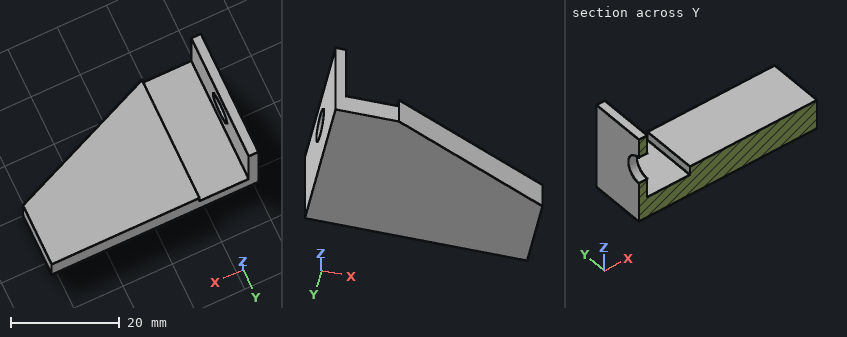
import cadquery as cq

length = 42.0
width = 25.0
height = 20.0

plate_thickness = 2.0
hole_diameter = 6.15

shelf_length = 10.0
shelf_height = 5.0

arm_height = 7.0
arm_tip_width = width / 2
arm_start = plate_thickness + shelf_length

hole_center_y = width / 2
hole_center_z = (shelf_height + height) / 2


def make_plate():
    """Upright plate with a round hole through its thickness."""
    plate = cq.Workplane("XY").box(plate_thickness, width, height, centered=False)
    hole = (
        cq.Workplane("YZ")
        .center(hole_center_y, hole_center_z)
        .circle(hole_diameter / 2)
        .extrude(plate_thickness)
    )
    return plate.cut(hole)


def make_shelf():
    """Low block joining the plate to the arm."""
    return cq.Workplane("XY").box(arm_start, width, shelf_height, centered=False)


def make_arm():
    """Flat arm whose -Y side slants in to the narrow tip."""
    return (
        cq.Workplane("XY")
        .moveTo(arm_start, 0)
        .lineTo(length, width - arm_tip_width)
        .lineTo(length, width)
        .lineTo(arm_start, width)
        .close()
        .extrude(arm_height)
    )


result = make_plate().union(make_shelf()).union(make_arm())